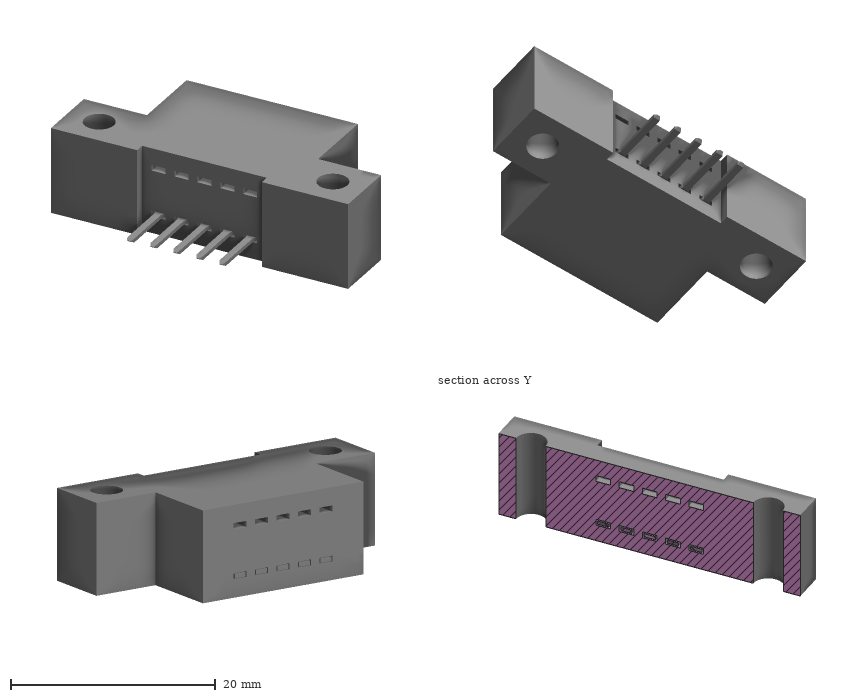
import cadquery as cq

flange_width = 33.02
flange_depth = 6.8
height = 9.4
block_width = 19.02
housing_depth = 15.0
recess_width = 13.85
recess_depth = 1.02

mount_hole_diameter = 3.25
mount_hole_spacing = 25.95

positions = 5
pitch = 2.55
slot_width = 1.55
slot_height = 0.63

blade_width = 1.3
shoulder_lead = 0.2
shoulder_length = 0.83
tail_width = 0.73
strip_thickness = 0.43
tail_reach = 5.02
tip_length = 0.33
tip_width = 0.33
tip_height = 0.05

upper_row_z = pitch
lower_row_z = -upper_row_z
shoulder_front_y = recess_depth - shoulder_lead
blade_front_y = shoulder_front_y + shoulder_length
tip_start_y = tip_length - tail_reach
contact_xs = [(i - (positions - 1) / 2) * pitch for i in range(positions)]


def centred_box(width, depth, box_height, x, front_y, z):
    """Box centred on x and z whose front face lies at front_y."""
    return cq.Workplane("XY").box(width, depth, box_height).translate((x, front_y + depth / 2, z))


def make_housing():
    body = centred_box(flange_width, flange_depth, height, 0, 0, 0)
    body = body.union(centred_box(block_width, housing_depth, height, 0, 0, 0))
    body = body.cut(centred_box(recess_width, recess_depth, height, 0, 0, 0))

    mount_holes = (
        cq.Workplane("XY", origin=(0, flange_depth / 2, -height / 2))
        .rarray(mount_hole_spacing, 0.33, 2, 1)
        .circle(mount_hole_diameter / 2)
        .extrude(height)
    )
    body = body.cut(mount_holes)

    for row_z in (lower_row_z, upper_row_z):
        for x in contact_xs:
            body = body.cut(centred_box(slot_width, housing_depth, slot_height, x, 0, row_z))
    return body


def make_contact(x):
    half_blade = blade_width / 2
    half_tail = tail_width / 2
    strip = (
        cq.Workplane("XY", origin=(x, 0, lower_row_z))
        .moveTo(-half_tail, tip_start_y)
        .lineTo(half_tail, tip_start_y)
        .lineTo(half_tail, shoulder_front_y)
        .lineTo(half_blade, blade_front_y)
        .lineTo(half_blade, housing_depth)
        .lineTo(-half_blade, housing_depth)
        .lineTo(-half_blade, blade_front_y)
        .lineTo(-half_tail, shoulder_front_y)
        .close()
        .extrude(strip_thickness / 2, both=True)
    )
    tip = (
        cq.Workplane("XZ", origin=(x, tip_start_y, lower_row_z))
        .rect(tail_width, strip_thickness)
        .workplane(offset=tip_length)
        .rect(tip_width, tip_height)
        .loft(ruled=True)
    )
    return strip.union(tip)


housing = make_housing()
contacts = [make_contact(x) for x in contact_xs]

result = cq.Compound.makeCompound([housing.val(), *[contact.val() for contact in contacts]])